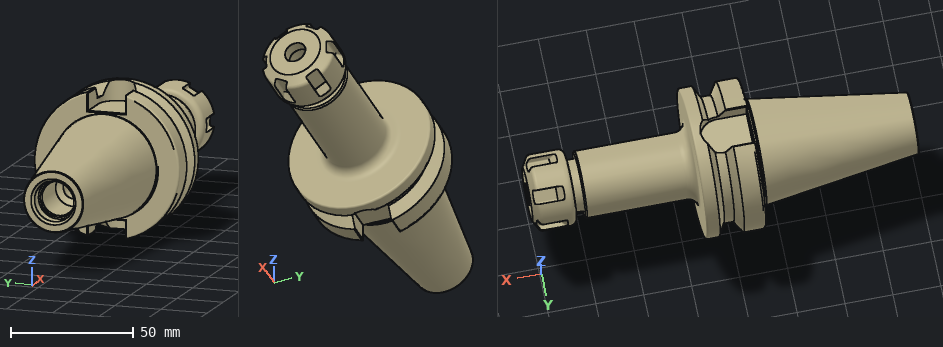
import cadquery as cq
import math


taper_length = 65.5
taper_end_chamfer = 0.3
taper_small_radius = 12.9
taper_large_radius = 22.2
relief_radius = 21.9
relief_chamfer = 0.6
relief_fillet = 0.5

flange_radius = 31.47
flange_start = 67.5
flange_end = 92.4
flange_edge_fillet = 1.0
groove_radius = 26.4
groove_slope_start = 76.6
groove_floor_start = 79.8
groove_floor_end = 84.0
groove_slope_end = 86.8

drive_slot_width = 16.1
drive_slot_floor = 22.5
drive_slot_end = 88.7
drive_slot_edge_chamfer = 0.5

nose_radius = 14.0
nose_end = 139.4
nose_fillet = 4.7
nose_chamfer = 0.6
neck_radius = 11.0
neck_fillet = 0.5
neck_end = 156.2

through_radius = 4.5
pilot_radius = 8.5
pilot_depth = 6.1
pilot_chamfer = 1.1
thread_radius = 7.2
thread_chamfer = 0.5
thread_chamfer_length = 0.8
thread_end = 24.1
cone_angle = 118

nut_radius = 16.0
nut_start = 143.1
nut_end = 161.0
nut_back_fillet = 2.5
nut_cone_start = 158.2
nut_face_radius = 11.1
nut_cone_fillet = 1.8
wrench_slot_count = 6
wrench_slot_width = 5.8
wrench_slot_fillet = 0.6
wrench_slot_floor = 13.2
wrench_slot_start = 147.1
wrench_slot_ramp = 2.9


def turned(points):
    """Solid of revolution about X from a closed outline of (x, radius) points."""
    return cq.Workplane("XZ").polyline(points).close().revolve(360, (0, 0, 0), (1, 0, 0))


def disc(start, end, radius):
    """Cylinder along the X axis."""
    return cq.Workplane("YZ", origin=(start, 0, 0)).circle(radius).extrude(end - start)


def holder_blank():
    edge_radius = flange_radius - flange_edge_fillet
    relief_start = taper_length + relief_chamfer
    outline = (
        cq.Workplane("XZ")
        .moveTo(0, 0)
        .lineTo(0, taper_small_radius - taper_end_chamfer)
        .lineTo(taper_end_chamfer, taper_small_radius)
        .lineTo(taper_length, taper_large_radius)
        .lineTo(relief_start, relief_radius)
        .lineTo(flange_start - relief_fillet, relief_radius)
        .radiusArc((flange_start, relief_radius + relief_fillet), -relief_fillet)
        .lineTo(flange_start, edge_radius)
        .radiusArc((flange_start + flange_edge_fillet, flange_radius), flange_edge_fillet)
        .lineTo(groove_slope_start, flange_radius)
        .lineTo(groove_floor_start, groove_radius)
        .lineTo(groove_floor_end, groove_radius)
        .lineTo(groove_slope_end, flange_radius)
        .lineTo(flange_end - flange_edge_fillet, flange_radius)
        .radiusArc((flange_end, edge_radius), flange_edge_fillet)
        .lineTo(flange_end, nose_radius + nose_fillet)
        .radiusArc((flange_end + nose_fillet, nose_radius), -nose_fillet)
        .lineTo(nose_end - nose_chamfer, nose_radius)
        .lineTo(nose_end, nose_radius - nose_chamfer)
        .lineTo(nose_end, neck_radius + neck_fillet)
        .radiusArc((nose_end + neck_fillet, neck_radius), -neck_fillet)
        .lineTo(neck_end, neck_radius)
        .lineTo(neck_end, 0)
        .close()
    )
    return outline.revolve(360, (0, 0, 0), (1, 0, 0))


def drive_slot():
    """Cutter for the upper drive slot: round at one end, open towards the taper, edges chamfered."""
    half_width = drive_slot_width / 2
    chamfer = drive_slot_edge_chamfer
    round_centre = drive_slot_end - half_width
    channel = (
        cq.Workplane("XY", origin=(0, 0, drive_slot_floor))
        .moveTo(flange_start, -half_width)
        .lineTo(round_centre, -half_width)
        .threePointArc((drive_slot_end, 0), (round_centre, half_width))
        .lineTo(flange_start, half_width)
        .close()
        .extrude(flange_radius)
    )
    mouth_floor = drive_slot_floor - chamfer
    mouth = (
        cq.Workplane("YZ", origin=(flange_start, 0, mouth_floor + flange_radius / 2))
        .rect(drive_slot_width + 2 * chamfer, flange_radius)
        .extrude(chamfer, taper=45)
    )
    rim_height = math.sqrt(flange_radius**2 - half_width**2)
    rim = (
        cq.Workplane("YZ", origin=(flange_start, 0, rim_height))
        .moveTo(-half_width, -chamfer)
        .lineTo(half_width, -chamfer)
        .lineTo(half_width + 2 * chamfer, chamfer)
        .lineTo(-half_width - 2 * chamfer, chamfer)
        .close()
        .extrude(groove_floor_start - flange_start)
    )
    return channel.union(mouth).union(rim)


def draw_bar_bore():
    cone_length = (thread_radius - through_radius) / math.tan(math.radians(cone_angle / 2))
    return turned([
        (0, 0),
        (0, pilot_radius + pilot_chamfer),
        (pilot_chamfer, pilot_radius),
        (pilot_depth, pilot_radius),
        (pilot_depth, thread_radius + thread_chamfer),
        (pilot_depth + thread_chamfer_length, thread_radius),
        (thread_end, thread_radius),
        (thread_end + cone_length, through_radius),
        (neck_end, through_radius),
        (neck_end, 0),
    ])


def make_holder():
    holder = holder_blank()
    for turn in (0, 180):
        holder = holder.cut(drive_slot().rotate((0, 0, 0), (1, 0, 0), turn))
    return holder.cut(draw_bar_bore())


def nut_blank():
    outline = turned([
        (nut_start, 0),
        (nut_start, nut_radius),
        (nut_cone_start, nut_radius),
        (nut_end, nut_face_radius),
        (nut_end, 0),
    ])
    outline = outline.faces("<X").edges().fillet(nut_back_fillet)
    cone_edge = cq.selectors.BoxSelector(
        (nut_cone_start - 0.2, -nut_radius - 1.6, -nut_radius - 1.6),
        (nut_cone_start + 0.2, nut_radius + 1.6, nut_radius + 1.6),
    )
    return outline.edges(cone_edge).edges("%CIRCLE").fillet(nut_cone_fillet)


def wrench_slot():
    """Cutter for the slot on the -Y side: a ramp down to a flat floor, open at the front."""
    blank = (
        cq.Workplane("XY", origin=(0, 0, -wrench_slot_width / 2))
        .moveTo(wrench_slot_start, -nut_radius)
        .lineTo(wrench_slot_start + wrench_slot_ramp, -wrench_slot_floor)
        .lineTo(nut_end, -wrench_slot_floor)
        .lineTo(nut_end, -nut_radius)
        .close()
        .extrude(wrench_slot_width)
    )
    floor_edges = blank.faces(">Y").edges("|X")
    ramp_edges = blank.faces("<X").edges("not |Z")
    return floor_edges.add(ramp_edges).fillet(wrench_slot_fillet)


def make_nut():
    nut = nut_blank()
    for index in range(wrench_slot_count):
        angle = index * 360 / wrench_slot_count
        nut = nut.cut(wrench_slot().rotate((0, 0, 0), (1, 0, 0), angle))
    nut = nut.cut(disc(nut_start, neck_end, neck_radius))
    return nut.cut(disc(neck_end, nut_end, through_radius))


holder = make_holder()
nut = make_nut()

result = cq.Compound.makeCompound([holder.val(), nut.val()])